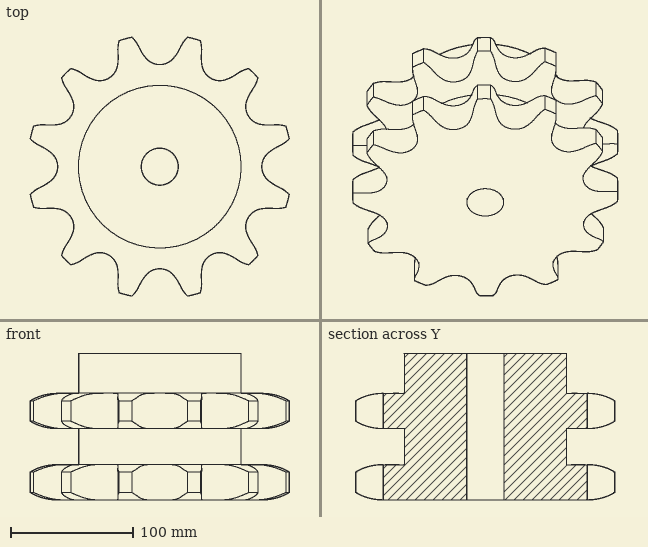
import cadquery as cq
import math


tooth_count = 12
chain_pitch = 50.8
roller_diameter = 29.2
overall_width = 211.9
tooth_step = 360 / tooth_count
half_step = tooth_step / 2
pitch_radius = chain_pitch / 2 / math.sin(math.radians(half_step))

disc_thickness = 29.0
strand_spacing = 58.3
flat_face_radius = 84.1
side_rounding_radius = chain_pitch

hub_diameter = 133.0
bore_diameter = 30.0
total_height = 120.0

seat_radius = 0.5025 * roller_diameter
working_center_offset = 0.8 * roller_diameter
topping_center_offset = 1.4 * roller_diameter
seat_end_angle = 35 + 60 / tooth_count
working_arc_angle = 18 - 56 / tooth_count


def step_from(point, distance, angle):
    """Point at a distance and angle (degrees) from another point."""
    direction = math.radians(angle)
    return (point[0] + distance * math.cos(direction), point[1] + distance * math.sin(direction))


def polar(radius, angle):
    return step_from((0, 0), radius, angle)


def flank_points():
    """Points from the bottom of a gap to the tooth tip, with the gap centred on +Y."""
    roller_center = (0, pitch_radius)
    gap_bottom = step_from(roller_center, seat_radius, -90)
    seat_mid = step_from(roller_center, seat_radius, -(90 + seat_end_angle) / 2)
    seat_end = step_from(roller_center, seat_radius, -seat_end_angle)

    working_center = step_from(roller_center, working_center_offset, 180 - seat_end_angle)
    working_radius = working_center_offset + seat_radius
    flat_normal = working_arc_angle - seat_end_angle
    working_mid = step_from(working_center, working_radius, flat_normal - working_arc_angle / 2)
    working_end = step_from(working_center, working_radius, flat_normal)

    topping_center = step_from(roller_center, topping_center_offset, -half_step)
    to_center_x = topping_center[0] - working_end[0]
    to_center_y = topping_center[1] - working_end[1]
    normal_x, normal_y = polar(1, flat_normal)
    flat_length = to_center_y * normal_x - to_center_x * normal_y
    flat_end = step_from(working_end, flat_length, flat_normal + 90)

    topping_radius = to_center_x * normal_x + to_center_y * normal_y
    tip_rise = overall_width / 2 - topping_center[1]
    tip_run = math.sqrt(topping_radius**2 - tip_rise**2)
    tip = (topping_center[0] - tip_run, overall_width / 2)
    topping_end_angle = math.degrees(math.atan2(tip_rise, -tip_run))
    topping_mid_angle = (flat_normal + 180 + topping_end_angle) / 2
    topping_mid = step_from(topping_center, topping_radius, topping_mid_angle)

    return [gap_bottom, seat_mid, seat_end, working_mid, working_end, flat_end, topping_mid, tip]


gap_flank = flank_points()
tip_radius = math.hypot(*gap_flank[-1])


def turned(point, angle):
    radius = math.hypot(*point)
    return polar(radius, math.degrees(math.atan2(point[1], point[0])) + angle)


def mirrored(point):
    return (-point[0], point[1])


def tooth_outline():
    """Closed outline of all teeth, drawn clockwise from one gap bottom to the next."""
    outline = cq.Workplane("XY").moveTo(*gap_flank[0])
    for index in range(tooth_count):
        rising = [turned(point, -index * tooth_step) for point in gap_flank]
        falling = [turned(mirrored(point), -(index + 1) * tooth_step) for point in gap_flank]
        _, seat_mid, seat_end, working_mid, working_end, flat_end, topping_mid, tip = rising
        outline = (
            outline.threePointArc(seat_mid, seat_end)
            .threePointArc(working_mid, working_end)
            .lineTo(*flat_end)
            .threePointArc(topping_mid, tip)
        )
        tip_middle = polar(tip_radius, 90 - (index + 0.5) * tooth_step)
        bottom, seat_mid, seat_end, working_mid, working_end, flat_end, topping_mid, tip = falling
        outline = (
            outline.threePointArc(tip_middle, tip)
            .threePointArc(topping_mid, flat_end)
            .lineTo(*working_end)
            .threePointArc(working_mid, seat_end)
            .threePointArc(seat_mid, bottom)
        )
    return outline.close()


def rounded_disc():
    """Disc whose two faces curve towards each other from the flat face out to the tips."""

    def rounding_depth(radius):
        reach = radius - flat_face_radius
        return side_rounding_radius - math.sqrt(side_rounding_radius**2 - reach**2)

    mid_radius = (flat_face_radius + tip_radius) / 2
    mid_depth = rounding_depth(mid_radius)
    tip_depth = rounding_depth(tip_radius)
    return (
        cq.Workplane("XZ")
        .lineTo(flat_face_radius, 0)
        .threePointArc((mid_radius, mid_depth), (tip_radius, tip_depth))
        .lineTo(tip_radius, disc_thickness - tip_depth)
        .threePointArc((mid_radius, disc_thickness - mid_depth), (flat_face_radius, disc_thickness))
        .lineTo(0, disc_thickness)
        .close()
        .revolve(360, (0, 0, 0), (0, 1, 0))
    )


toothed_disc = tooth_outline().extrude(disc_thickness).intersect(rounded_disc())
hub = cq.Workplane("XY").circle(hub_diameter / 2).extrude(total_height)
bore = cq.Workplane("XY").circle(bore_diameter / 2).extrude(total_height)

result = hub.union(toothed_disc).union(toothed_disc.translate((0, 0, strand_spacing))).cut(bore)